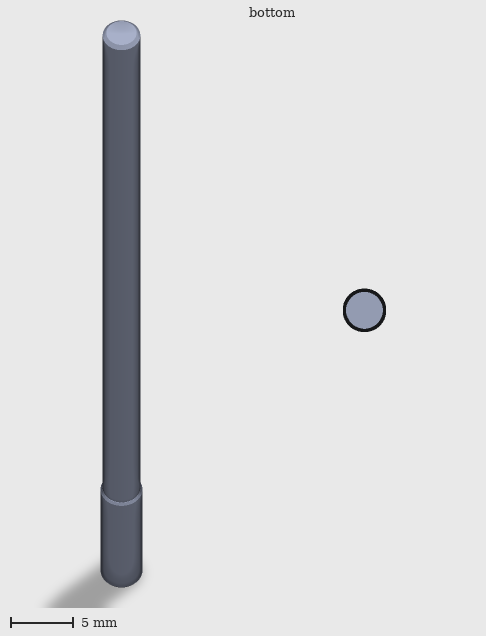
import cadquery as cq
import math

total_length = 70.0
shank_diameter = 3.0
shank_chamfer = 0.3
tip_diameter = 3.34
tip_length = 11.0
tip_bevel_length = 0.23
tip_bevel_angle = 30.0

shank_length = total_length - tip_length
tip_radius = tip_diameter / 2
tip_end_radius = tip_radius - tip_bevel_length * math.tan(math.radians(tip_bevel_angle))


def make_shank():
    """Long upper rod, standing on the tip and chamfered at its free end."""
    rod = cq.Workplane("XY").workplane(offset=tip_length).circle(shank_diameter / 2).extrude(shank_length)
    return rod.faces(">Z").chamfer(shank_chamfer)


def make_tip():
    """Short, slightly thicker lower rod with a steep bevel at both ends."""
    half_profile = [
        (0, 0),
        (tip_end_radius, 0),
        (tip_radius, tip_bevel_length),
        (tip_radius, tip_length - tip_bevel_length),
        (tip_end_radius, tip_length),
        (0, tip_length),
    ]
    return cq.Workplane("XZ").polyline(half_profile).close().revolve(360, (0, 0), (0, 1))


shank = make_shank()
tip = make_tip()

result = cq.Compound.makeCompound([shank.val(), tip.val()])